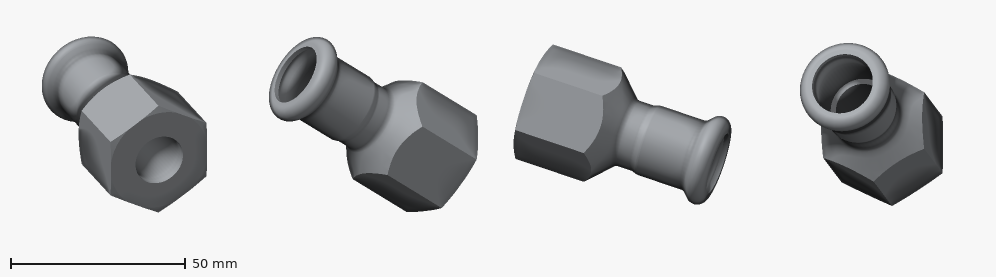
import cadquery as cq
import math

length = 57.0
hex_across_flats = 30.0
hex_corner_radius = hex_across_flats / math.sqrt(3)

wall = 1.5
socket_radius = 21.0 / 2
bore_radius = 14.8 / 2
socket_depth = 21.1

bead_radius = 2.9
bead_ring_radius = 10.4
bead_fillet = 2.0

neck_radius = 19.8 / 2
shoulder_start = 20.85
shoulder_angle = math.radians(18)
shoulder_fillet = 2.0
neck_end = 27.25
neck_fillet = 2.0

cone_angle = math.radians(45)
end_chamfer_angle = math.radians(15)
end_chamfer_length = 0.55


def arc_point(center, radius, angle):
    """Point on an arc, with the angle measured from +X towards the outside."""
    return (center[0] + radius * math.cos(angle), center[1] + radius * math.sin(angle))


def revolve_profile(profile):
    """Turn a closed profile drawn as (x, radius) about the X axis."""
    return profile.close().revolve(360, (0, 0, 0), (1, 0, 0))


bead_center = (bead_radius, bead_ring_radius)
fillet_center_radius = socket_radius + bead_fillet
fillet_center = (
    bead_radius
    + (bead_radius + bead_fillet) * math.sqrt(2)
    - (fillet_center_radius - bead_ring_radius),
    fillet_center_radius,
)
TOP = math.pi / 2
BEAD_TANGENT = math.pi / 4
FILLET_TANGENT = BEAD_TANGENT + math.pi
FILLET_MIDDLE = FILLET_TANGENT + math.pi / 8
BOTTOM = -math.pi / 2


def outer_body():
    """Outside of the bead, socket, shoulder, neck and cone, before the hexagon is cut."""
    arc_run = shoulder_fillet * math.sin(shoulder_angle)
    arc_drop = shoulder_fillet * (1 - math.cos(shoulder_angle))
    half_arc_run = shoulder_fillet * math.sin(shoulder_angle / 2)
    half_arc_drop = shoulder_fillet * (1 - math.cos(shoulder_angle / 2))
    slope_drop = socket_radius - neck_radius - 2 * arc_drop
    slope_end = shoulder_start + arc_run + slope_drop / math.tan(shoulder_angle)
    shoulder_end = slope_end + arc_run

    neck_fillet_center = (neck_end, neck_radius + neck_fillet)
    cone_start = arc_point(neck_fillet_center, neck_fillet, BOTTOM + cone_angle)
    cone_end = cone_start[0] + (hex_corner_radius - cone_start[1]) / math.tan(cone_angle)
    end_radius = hex_corner_radius - end_chamfer_length / math.tan(end_chamfer_angle)

    profile = (
        cq.Workplane("XY")
        .moveTo(0, 0)
        .lineTo(0, bead_ring_radius)
        .threePointArc(
            arc_point(bead_center, bead_radius, TOP),
            arc_point(bead_center, bead_radius, BEAD_TANGENT),
        )
        .lineTo(*arc_point(fillet_center, bead_fillet, FILLET_TANGENT))
        .threePointArc(
            arc_point(fillet_center, bead_fillet, FILLET_MIDDLE),
            arc_point(fillet_center, bead_fillet, BOTTOM),
        )
        .lineTo(shoulder_start, socket_radius)
        .threePointArc(
            (shoulder_start + half_arc_run, socket_radius - half_arc_drop),
            (shoulder_start + arc_run, socket_radius - arc_drop),
        )
        .lineTo(slope_end, neck_radius + arc_drop)
        .threePointArc(
            (shoulder_end - half_arc_run, neck_radius + half_arc_drop),
            (shoulder_end, neck_radius),
        )
        .lineTo(neck_end, neck_radius)
        .threePointArc(
            arc_point(neck_fillet_center, neck_fillet, BOTTOM + cone_angle / 2),
            cone_start,
        )
        .lineTo(cone_end, hex_corner_radius)
        .lineTo(length - end_chamfer_length, hex_corner_radius)
        .lineTo(length, end_radius)
        .lineTo(length, 0)
    )
    return revolve_profile(profile)


def hexagon_bar():
    """Hexagonal envelope with corners pointing to +Z and -Z."""
    return (
        cq.Workplane("YZ")
        .polygon(6, 2 * hex_corner_radius)
        .extrude(length)
        .rotate((0, 0, 0), (1, 0, 0), 90)
    )


def inner_cavity():
    """Seal groove, socket and through bore, keeping the wall even around the bead."""
    groove_radius = bead_radius - wall
    inner_fillet = bead_fillet + wall
    inner_radius = socket_radius - wall
    profile = (
        cq.Workplane("XY")
        .moveTo(0, 0)
        .lineTo(0, inner_radius)
        .lineTo(wall, inner_radius)
        .lineTo(wall, bead_ring_radius)
        .threePointArc(
            arc_point(bead_center, groove_radius, TOP),
            arc_point(bead_center, groove_radius, BEAD_TANGENT),
        )
        .lineTo(*arc_point(fillet_center, inner_fillet, FILLET_TANGENT))
        .threePointArc(
            arc_point(fillet_center, inner_fillet, FILLET_MIDDLE),
            arc_point(fillet_center, inner_fillet, BOTTOM),
        )
        .lineTo(socket_depth, inner_radius)
        .lineTo(socket_depth, bore_radius)
        .lineTo(length, bore_radius)
        .lineTo(length, 0)
    )
    return revolve_profile(profile)


result = outer_body().intersect(hexagon_bar()).cut(inner_cavity())